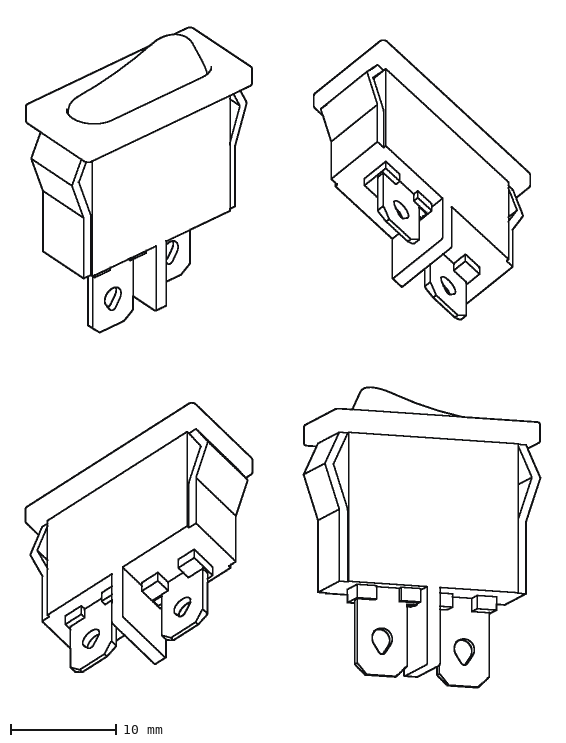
import cadquery as cq
import math


BEZEL_WIDTH = 9.4
BEZEL_LENGTH = 20.8
BEZEL_HEIGHT = 2.0
BEZEL_CORNER_RADIUS = 0.5
EDGE_RADIUS = 0.2

BODY_WIDTH = 6.55
BODY_LENGTH = 17.15
BODY_HEIGHT = 14.43
DIVIDER_THICKNESS = 1.3
DIVIDER_BOTTOM = -21.97

CLIP_WIDTH = 6.02
CLIP_THICKNESS = 0.87
CLIP_SPAN = 21.8
CLIP_REACH = CLIP_SPAN / 2
CLIP_BEND_Z = -3.1
CLIP_ROOT_Z = -7.45

ROCKER_RADIUS = 2.45
END_CENTRE = 5.6
DRUM_RADIUS = END_CENTRE + ROCKER_RADIUS
PIVOT_Z = -1.15
THROW = 25.0
DISH_RADIUS = 33.9
DISH_HEIGHT = 4.2
ROCKER_EDGE_RADIUS = 0.5
STOCK_HEIGHT = 8.4

OPENING_GAP = 0.17
OPENING_RADIUS = ROCKER_RADIUS + OPENING_GAP

BLADE_THICKNESS = 0.73
BLADE_TIP_THICKNESS = 0.4
BLADE_X = 1.23
BLADE_INNER_Y = 2.07
BLADE_OUTER_Y = 7.12
BLADE_CENTRE_Y = (BLADE_INNER_Y + BLADE_OUTER_Y) / 2
BLADE_BOTTOM = -22.95
BLADE_CORNER = 1.0
BLADE_BEVEL_HEIGHT = 0.85
SHOULDER_INNER_Y = 1.06
SHOULDER_BOTTOM = -15.92
EYE_RADIUS = 1.0
EYE_TIP_RADIUS = 0.4
EYE_Z = -19.42
EYE_CENTRE_DISTANCE = 1.12

BLOCK_WIDTH = 2.77
BLOCK_LENGTH = 1.95
BLOCK_HEIGHT = 1.3
BLOCK_X = 0.73
BLOCK_CENTRES_Y = (1.88, 6.33)


def turned(shape):
    """The same shape turned half a turn about the switch's vertical axis."""
    return shape.rotate((0, 0, 0), (0, 0, 1), 180)


def rocker_opening():
    """Stadium-shaped recess in the bezel, down to the bezel's underside."""
    return (
        cq.Workplane("XY")
        .slot2D(2 * (END_CENTRE + OPENING_RADIUS), 2 * OPENING_RADIUS, 90)
        .extrude(BEZEL_HEIGHT)
    )


def make_bezel():
    bezel = (
        cq.Workplane("XY")
        .rect(BEZEL_WIDTH, BEZEL_LENGTH)
        .extrude(BEZEL_HEIGHT)
        .edges("|Z")
        .fillet(BEZEL_CORNER_RADIUS)
        .faces("<Z")
        .edges()
        .fillet(EDGE_RADIUS)
    )
    return bezel.cut(rocker_opening()).faces(">Z").edges().fillet(EDGE_RADIUS)


def make_clip():
    """Bent snap clip on the +Y end of the body."""
    inner_root = BODY_LENGTH / 2
    outer_root = inner_root + CLIP_THICKNESS
    outline = [
        (inner_root, 0),
        (outer_root, 0),
        (CLIP_REACH, CLIP_BEND_Z),
        (outer_root, CLIP_ROOT_Z),
        (outer_root, -BODY_HEIGHT),
        (inner_root, -BODY_HEIGHT),
        (inner_root, CLIP_ROOT_Z),
        (CLIP_REACH - CLIP_THICKNESS, CLIP_BEND_Z),
    ]
    return cq.Workplane("YZ").polyline(outline).close().extrude(CLIP_WIDTH / 2, both=True)


def make_divider():
    return (
        cq.Workplane("XY", origin=(0, 0, DIVIDER_BOTTOM))
        .rect(BODY_WIDTH, DIVIDER_THICKNESS)
        .extrude(-BODY_HEIGHT - DIVIDER_BOTTOM)
        .edges("|Y and <Z")
        .fillet(EDGE_RADIUS)
    )


def make_guide_blocks():
    """Pair of blocks around the front terminal."""
    return (
        cq.Workplane("XY", origin=(BLOCK_X, 0, -BODY_HEIGHT))
        .pushPoints([(0, -y) for y in BLOCK_CENTRES_Y])
        .rect(BLOCK_WIDTH, BLOCK_LENGTH)
        .extrude(-BLOCK_HEIGHT)
    )


def make_housing(terminals):
    body = cq.Workplane("XY").rect(BODY_WIDTH, BODY_LENGTH).extrude(-BODY_HEIGHT)
    housing = body.union(make_bezel()).union(make_divider())
    for feature in (make_clip(), make_guide_blocks()):
        housing = housing.union(feature).union(turned(feature))
    for terminal in terminals:
        housing = housing.cut(terminal)
    return housing


def half_stadium(plane, side):
    """Half of the rocker's plan on the given plane, towards +Y (side 1) or -Y (side -1)."""
    return (
        plane.moveTo(-ROCKER_RADIUS, 0)
        .lineTo(-ROCKER_RADIUS, side * END_CENTRE)
        .threePointArc((0, side * DRUM_RADIUS), (ROCKER_RADIUS, side * END_CENTRE))
        .lineTo(ROCKER_RADIUS, 0)
        .close()
    )


def make_rocker():
    pivot = (0, 0, PIVOT_Z)
    pivot_axis_end = (1, 0, PIVOT_Z)

    front = half_stadium(cq.Workplane("XY", origin=pivot), -1).extrude(STOCK_HEIGHT)
    rear = half_stadium(cq.Workplane("XY", origin=pivot), 1).extrude(STOCK_HEIGHT)
    rear = rear.rotate(pivot, pivot_axis_end, THROW)

    drum = half_stadium(cq.Workplane("XY", origin=pivot), 1).revolve(THROW, (0, 0, 0), (1, 0, 0))

    dish = (
        cq.Workplane("YZ", origin=pivot)
        .center(0, DISH_HEIGHT + DISH_RADIUS)
        .circle(DISH_RADIUS)
        .extrude(BODY_WIDTH, both=True)
        .rotate(pivot, pivot_axis_end, THROW / 2)
    )
    below_floor = cq.Workplane("XY").rect(BODY_WIDTH, BODY_LENGTH).extrude(2 * PIVOT_Z)
    rocker = front.union(rear).union(drum).cut(below_floor).cut(dish).clean()

    dish_middle = cq.selectors.NearestToPointSelector((0, 0, PIVOT_Z + DISH_HEIGHT))
    dish_rim = rocker.faces(dish_middle).edges()
    return rocker.newObject(dish_rim.vals()).fillet(ROCKER_EDGE_RADIUS)


def terminal_eye():
    """Teardrop hole: a large and a small circle joined by their common tangents."""
    tip_z = EYE_Z - EYE_CENTRE_DISTANCE
    drop = (EYE_RADIUS - EYE_TIP_RADIUS) / EYE_CENTRE_DISTANCE
    spread = math.sqrt(1 - drop**2)
    return (
        cq.Workplane("YZ")
        .moveTo(-BLADE_CENTRE_Y - EYE_RADIUS * spread, EYE_Z - EYE_RADIUS * drop)
        .threePointArc(
            (-BLADE_CENTRE_Y, EYE_Z + EYE_RADIUS),
            (-BLADE_CENTRE_Y + EYE_RADIUS * spread, EYE_Z - EYE_RADIUS * drop),
        )
        .lineTo(-BLADE_CENTRE_Y + EYE_TIP_RADIUS * spread, tip_z - EYE_TIP_RADIUS * drop)
        .threePointArc(
            (-BLADE_CENTRE_Y, tip_z - EYE_TIP_RADIUS),
            (-BLADE_CENTRE_Y - EYE_TIP_RADIUS * spread, tip_z - EYE_TIP_RADIUS * drop),
        )
        .close()
        .extrude(BODY_WIDTH, both=True)
    )


def make_terminal():
    """Front spade terminal, hanging from the underside of the body."""
    side_outline = [
        (-SHOULDER_INNER_Y, -BODY_HEIGHT),
        (-BLADE_OUTER_Y, -BODY_HEIGHT),
        (-BLADE_OUTER_Y, BLADE_BOTTOM + BLADE_CORNER),
        (-BLADE_OUTER_Y + BLADE_CORNER, BLADE_BOTTOM),
        (-BLADE_INNER_Y - BLADE_CORNER, BLADE_BOTTOM),
        (-BLADE_INNER_Y, BLADE_BOTTOM + BLADE_CORNER),
        (-BLADE_INNER_Y, SHOULDER_BOTTOM),
        (-SHOULDER_INNER_Y, SHOULDER_BOTTOM),
    ]
    blade = (
        cq.Workplane("YZ", origin=(BLADE_X, 0, 0))
        .polyline(side_outline)
        .close()
        .extrude(BLADE_THICKNESS / 2, both=True)
    )
    bevel_top = BLADE_BOTTOM + BLADE_BEVEL_HEIGHT
    edge_outline = [
        (-BLADE_THICKNESS / 2, -BODY_HEIGHT),
        (-BLADE_THICKNESS / 2, bevel_top),
        (-BLADE_TIP_THICKNESS / 2, BLADE_BOTTOM),
        (BLADE_TIP_THICKNESS / 2, BLADE_BOTTOM),
        (BLADE_THICKNESS / 2, bevel_top),
        (BLADE_THICKNESS / 2, -BODY_HEIGHT),
    ]
    bevelled = (
        cq.Workplane("XZ", origin=(BLADE_X, 0, 0))
        .polyline(edge_outline)
        .close()
        .extrude(BLADE_OUTER_Y)
    )
    return blade.intersect(bevelled).cut(terminal_eye())


front_terminal = make_terminal()
terminals = [front_terminal, turned(front_terminal)]
housing = make_housing(terminals)
rocker = make_rocker()

result = cq.Compound.makeCompound(
    [housing.val(), rocker.val(), *[terminal.val() for terminal in terminals]]
)